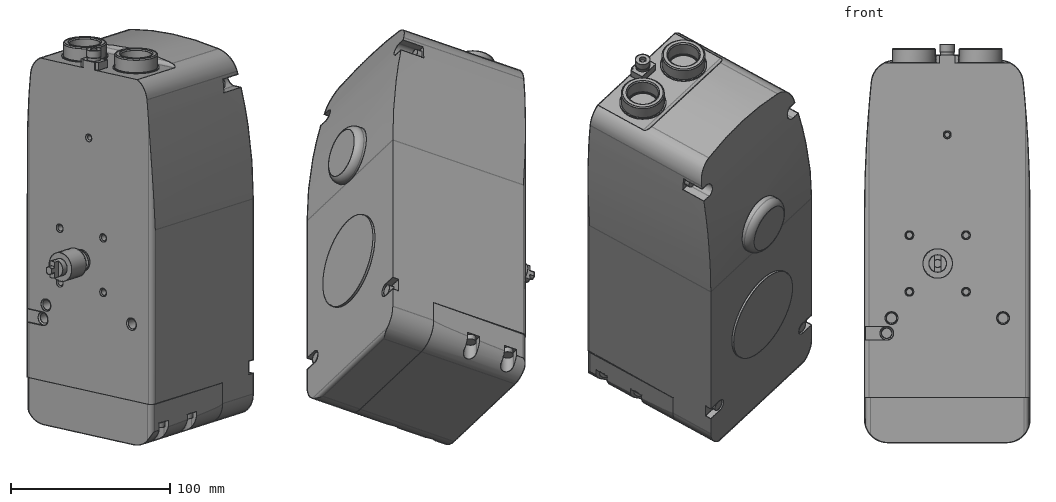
import cadquery as cq
import math


width = 104.0
depth = 98.8
crown_height = 243.0
taper_start = 142.0
top_back_y = 83.5
top_corner_radius = 15.0
top_corner_x = 32.8
top_corner_z = 225.0
bottom_corner_radius = 15.0
front_edge_radius = 3.0
back_bottom_radius = 2.5
half_width = width / 2

cover_height = 28.5
cover_depth = 68.8
cover_front_inset = 0.8

ledge_z = 238.2
ledge_depth = 38.5
ledge_slope_run = 2.5
ledge_toe_radius = 4.0

connector_x = 21.0
connector_y = 21.2
connector_diameter = 27.0
connector_top = 247.5
connector_flange_diameter = 29.0
connector_flange_height = 0.5
connector_bore = 19.5
connector_port_diameter = 18.5
connector_port_depth = 1.0
connector_chamfer = 0.8

terminal_y = 5.0
terminal_depth = 10.0
terminal_lug_width = 9.5
terminal_base_width = 14.0
terminal_base_setback = 1.0
terminal_top = 243.2
ground_head_diameter = 9.2
ground_neck_diameter = 8.5
ground_head_bottom = 245.2
ground_top = 250.0
ground_socket_diameter = 4.2
ground_socket_depth = 2.5

drive_x = -6.0
drive_z = 112.5
drive_flange_diameter = 14.0
drive_neck_diameter = 8.5
neck_flat_height = 3.2
neck_flat_start = 2.8
coupling_diameter = 18.5
journal_diameter = 11.0
pin_diameter = 5.0
tongue_width = 4.0
flange_end = 1.5
neck_end = 6.2
coupling_end = 20.5
journal_end = 24.8
tongue_end = 28.5
pin_end = 31.8
set_screw_diameter = 3.0
set_screw_depth = 3.8
set_screw_y = 13.2
set_screw_angles = (135, 225)

indicator_z = 160.8
indicator_diameter = 38.0
indicator_back = 105.0
indicator_seat = 93.8
indicator_face_diameter = 31.0
indicator_rim_y = 100.0
plate_z = 80.2
plate_diameter = 60.8
plate_thickness = 1.5

small_thread = (5.0, 3.2)
flange_thread = (5.5, 4.0)
large_thread = (8.0, 6.5)
earth_thread = (8.5, 6.5)
hole_depth = 10.0
flange_hole_spacing = 35.5
top_hole_z = 193.2
large_hole_x = 35.0
large_hole_z = 78.2
earth_hole_x = -38.0
earth_hole_z = 68.8
earth_slot_width = 8.8
earth_slot_depth = 1.0

pocket_width = 8.8
screw_head_diameter = 7.0
screw_head_height = 3.5
back_pocket_x = 43.2
back_pockets = ((220.0, 74.0), (32.8, 94.5))
cover_pocket_x = 47.8
cover_pocket_top = 15.0
cover_pocket_ys = (12.0, 39.2)


def cylinder_y(x, z, diameter, y_start, y_end):
    """Cylinder along Y between two Y positions."""
    disc = cq.Workplane("XZ", origin=(x, y_start, z)).circle(diameter / 2)
    return disc.extrude(y_start - y_end)


def cylinder_z(x, y, diameter, z_start, z_end):
    """Cylinder along Z between two heights."""
    return cq.Workplane("XY", origin=(x, y, z_start)).circle(diameter / 2).extrude(z_end - z_start)


def block(x_start, x_end, y_start, y_end, z_start, z_end):
    """Rectangular block between two opposite corners."""
    size = (x_end - x_start, y_end - y_start, z_end - z_start)
    return cq.Workplane("XY").box(*size, centered=False).translate((x_start, y_start, z_start))


def blending_radius(across, along):
    """Radius of an arc that runs smoothly into a top corner circle.

    The arc leaves its start square to a main axis. The corner center lies at the
    given offsets from that start, inwards (across) and lengthwise (along).
    """
    reach = top_corner_radius**2 - across**2 - along**2
    return reach / (2 * (across + top_corner_radius))


def front_outline_prism():
    """Tapered, crowned and rounded front outline, extruded over the housing depth."""
    side_radius = blending_radius(top_corner_x - half_width, top_corner_z - taper_start)
    crown_radius = blending_radius(top_corner_z - crown_height, top_corner_x)
    side_center_x = half_width - side_radius
    crown_center_z = crown_height - crown_radius

    side_angle = math.atan2(top_corner_z - taper_start, top_corner_x - side_center_x)
    crown_angle = math.atan2(top_corner_z - crown_center_z, top_corner_x)

    def corner_point(angle):
        return (
            top_corner_x + top_corner_radius * math.cos(angle),
            top_corner_z + top_corner_radius * math.sin(angle),
        )

    def mirrored(point):
        return (-point[0], point[1])

    side_end = corner_point(side_angle)
    corner_middle = corner_point((side_angle + crown_angle) / 2)
    crown_end = corner_point(crown_angle)
    side_middle = (
        side_center_x + side_radius * math.cos(side_angle / 2),
        taper_start + side_radius * math.sin(side_angle / 2),
    )
    return (
        cq.Workplane("XZ")
        .moveTo(-half_width, 0)
        .lineTo(half_width, 0)
        .lineTo(half_width, taper_start)
        .threePointArc(side_middle, side_end)
        .threePointArc(corner_middle, crown_end)
        .threePointArc((0, crown_height), mirrored(crown_end))
        .threePointArc(mirrored(corner_middle), mirrored(side_end))
        .threePointArc(mirrored(side_middle), (-half_width, taper_start))
        .close()
        .extrude(-depth)
        .edges("|Y and <Z")
        .fillet(bottom_corner_radius)
    )


def side_outline_prism():
    """Side outline with the curved back, extruded over the housing width."""
    return (
        cq.Workplane("YZ", origin=(-half_width, 0, 0))
        .lineTo(depth, 0)
        .lineTo(depth, taper_start)
        .tangentArcPoint((top_back_y, crown_height), relative=False)
        .lineTo(0, crown_height)
        .close()
        .extrude(width)
        .edges("|X and <Z and >Y")
        .fillet(back_bottom_radius)
    )


def plan_prism(front_half_width, back_half_width, length, height):
    """Plan outline with rounded front corners, extruded upwards from the bottom."""
    return (
        cq.Workplane("XY")
        .polyline(
            [
                (-front_half_width, 0),
                (front_half_width, 0),
                (back_half_width, length),
                (-back_half_width, length),
            ]
        )
        .close()
        .extrude(height)
        .edges("|Z and <Y")
        .fillet(front_edge_radius)
    )


def connector_ledge():
    """Space above the ledge, with a sloped rear wall rounded at its foot."""
    slope_end = ledge_depth + ledge_slope_run
    return (
        cq.Workplane("YZ", origin=(-half_width, 0, 0))
        .polyline(
            [(0, ledge_z), (ledge_depth, ledge_z), (slope_end, crown_height), (0, crown_height)]
        )
        .close()
        .extrude(width)
        .edges(cq.selectors.NearestToPointSelector((0, ledge_depth, ledge_z)))
        .fillet(ledge_toe_radius)
    )


def ground_lug():
    """Raised lug on the ledge that carries the ground screw."""
    lug = block(-terminal_lug_width / 2, terminal_lug_width / 2, 0, terminal_depth, ledge_z, terminal_top)
    half_base = terminal_base_width / 2
    base = block(-half_base, half_base, terminal_base_setback, terminal_depth, ledge_z, terminal_top)
    return lug.union(base)


def threaded_hole(x, z, thread, floor_y=0.0):
    """Blind hole whose mouth widens to the thread diameter."""
    thread_diameter, core_diameter = thread
    hole = cylinder_y(x, z, core_diameter, floor_y, hole_depth)
    mouth_radius = thread_diameter / 2
    core_radius = core_diameter / 2
    mouth = cq.Solid.makeCone(
        mouth_radius, core_radius, mouth_radius - core_radius, cq.Vector(x, floor_y, z), cq.Vector(0, 1, 0)
    )
    return hole.union(cq.Workplane(mouth))


def mounting_holes():
    """All threaded holes in the mounting face and the slot of the earth hole."""
    half_spacing = flange_hole_spacing / 2
    holes = threaded_hole(0, top_hole_z, small_thread)
    for x_sign in (-1, 1):
        holes = holes.add(threaded_hole(x_sign * large_hole_x, large_hole_z, large_thread))
        for z_sign in (-1, 1):
            x = drive_x + x_sign * half_spacing
            z = drive_z + z_sign * half_spacing
            holes = holes.add(threaded_hole(x, z, flange_thread))
    half_slot = earth_slot_width / 2
    slot_z = (earth_hole_z - half_slot, earth_hole_z + half_slot)
    holes = holes.add(block(-half_width, earth_hole_x, 0, earth_slot_depth, *slot_z))
    holes = holes.add(cylinder_y(earth_hole_x, earth_hole_z, earth_slot_width, 0, earth_slot_depth))
    return holes.add(threaded_hole(earth_hole_x, earth_hole_z, earth_thread, earth_slot_depth))


def back_pocket(side, z, floor_y):
    """Pocket from the back, open to one side, around a screw head on its floor."""
    half_pocket = pocket_width / 2
    center_x = side * back_pocket_x
    x_range = sorted((center_x, side * half_width))
    pocket = cylinder_y(center_x, z, pocket_width, floor_y, depth)
    pocket = pocket.union(block(*x_range, floor_y, depth, z - half_pocket, z + half_pocket))
    return pocket.cut(cylinder_y(center_x, z, screw_head_diameter, floor_y, floor_y + screw_head_height))


def cover_pocket(side, y):
    """Pocket from below, open to one side, around a screw head on its ceiling."""
    half_pocket = pocket_width / 2
    center_x = side * cover_pocket_x
    x_range = sorted((center_x, side * half_width))
    pocket = cylinder_z(center_x, y, pocket_width, 0, cover_pocket_top)
    pocket = pocket.union(block(*x_range, y - half_pocket, y + half_pocket, 0, cover_pocket_top))
    head_bottom = cover_pocket_top - screw_head_height
    return pocket.cut(cylinder_z(center_x, y, screw_head_diameter, head_bottom, cover_pocket_top))


def make_housing(envelope):
    housing = envelope.intersect(plan_prism(half_width, half_width, depth, crown_height))
    housing = housing.cut(block(-half_width, half_width, 0, cover_depth, 0, cover_height))
    housing = housing.cut(connector_ledge()).union(ground_lug())
    for side in (-1, 1):
        port_floor = ledge_z - connector_port_depth
        port = cylinder_z(side * connector_x, connector_y, connector_port_diameter, port_floor, ledge_z)
        housing = housing.cut(port)
    housing = housing.union(cylinder_y(0, plate_z, plate_diameter, depth, depth + plate_thickness))
    housing = housing.cut(cylinder_y(0, indicator_z, indicator_diameter, indicator_seat, indicator_back))
    for hole in mounting_holes().vals():
        housing = housing.cut(cq.Workplane(hole))
    for side in (-1, 1):
        for z, floor_y in back_pockets:
            housing = housing.cut(back_pocket(side, z, floor_y))
    return housing


def make_cover(envelope):
    front_half_width = half_width - cover_front_inset
    cover = envelope.intersect(plan_prism(front_half_width, half_width, cover_depth, cover_height))
    for side in (-1, 1):
        for y in cover_pocket_ys:
            cover = cover.cut(cover_pocket(side, y))
    return cover


def make_connector(x):
    """Open ring with chamfered rims and a thin flange on the ledge."""
    flange_top = ledge_z + connector_flange_height
    bore = cylinder_z(x, connector_y, connector_bore, ledge_z, connector_top)
    ring = cylinder_z(x, connector_y, connector_diameter, ledge_z, connector_top).cut(bore)
    ring = ring.faces(">Z").chamfer(connector_chamfer)
    flange = cylinder_z(x, connector_y, connector_flange_diameter, ledge_z, flange_top).cut(bore)
    return ring.union(flange)


def make_ground_screw():
    neck = cylinder_z(0, terminal_y, ground_neck_diameter, terminal_top, ground_head_bottom)
    head = cylinder_z(0, terminal_y, ground_head_diameter, ground_head_bottom, ground_top)
    socket = cylinder_z(0, terminal_y, ground_socket_diameter, ground_top - ground_socket_depth, ground_top)
    return neck.union(head).cut(socket)


def make_output_drive():
    """Stepped shaft with its coupling, ending in a tongue and a pin."""
    steps = (
        (drive_flange_diameter, 0, flange_end),
        (drive_neck_diameter, flange_end, neck_end),
        (coupling_diameter, neck_end, coupling_end),
        (journal_diameter, coupling_end, journal_end),
    )
    drive = cq.Workplane()
    for diameter, start, end in steps:
        drive = drive.union(cylinder_y(drive_x, drive_z, diameter, -start, -end))
    half_neck = drive_neck_diameter / 2
    neck_flat = block(
        drive_x - half_neck,
        drive_x + half_neck,
        -neck_end,
        -neck_flat_start,
        drive_z + neck_flat_height,
        drive_z + half_neck,
    )
    drive = drive.cut(neck_flat)
    tip = cylinder_y(drive_x, drive_z, journal_diameter, -journal_end, -tongue_end)
    tip = tip.union(cylinder_y(drive_x, drive_z, pin_diameter, -tongue_end, -pin_end))
    half_tongue = tongue_width / 2
    tongue_slab = block(
        drive_x - half_tongue,
        drive_x + half_tongue,
        -pin_end,
        -journal_end,
        drive_z - journal_diameter,
        drive_z + journal_diameter,
    )
    drive = drive.union(tip.intersect(tongue_slab))
    for angle in set_screw_angles:
        outward = cq.Vector(math.cos(math.radians(angle)), 0, math.sin(math.radians(angle)))
        axis_point = cq.Vector(drive_x, -set_screw_y, drive_z)
        start = axis_point + outward * (coupling_diameter / 2 - set_screw_depth)
        hole = cq.Solid.makeCylinder(set_screw_diameter / 2, coupling_diameter, start, outward)
        drive = drive.cut(cq.Workplane(hole))
    return drive


def make_indicator():
    """Round window turned about Y, with an edge that curves in to its face."""
    outer_radius = indicator_diameter / 2
    return (
        cq.Workplane("XY", origin=(0, 0, indicator_z))
        .moveTo(0, indicator_seat)
        .lineTo(outer_radius, indicator_seat)
        .lineTo(outer_radius, indicator_rim_y)
        .tangentArcPoint((indicator_face_diameter / 2, indicator_back), relative=False)
        .lineTo(0, indicator_back)
        .close()
        .revolve(axisStart=(0, 0, 0), axisEnd=(0, 1, 0))
    )


envelope = front_outline_prism().intersect(side_outline_prism())
housing = make_housing(envelope)
cover = make_cover(envelope)
connectors = [make_connector(side * connector_x) for side in (-1, 1)]
ground_screw = make_ground_screw()
output_drive = make_output_drive()
indicator = make_indicator()

result = cq.Compound.makeCompound(
    [
        housing.val(),
        cover.val(),
        *[connector.val() for connector in connectors],
        ground_screw.val(),
        output_drive.val(),
        indicator.val(),
    ]
)